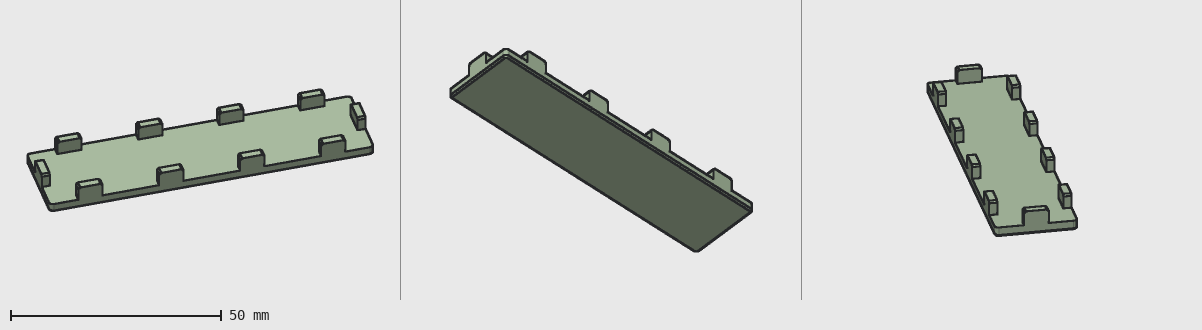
import cadquery as cq

length = 80.0
width = 20.0
height = 6.1
plate_thickness = 2.5
corner_radius = 1.0
bottom_chamfer = 0.5

tab_width = 6.0
tab_thickness = 2.0
tab_chamfer = 0.5
tabs_per_side = 4
tab_pitch = length / tabs_per_side
tab_height = height - plate_thickness


def make_plate():
    """Flat plate with rounded corners and a chamfered bottom rim."""
    plate = cq.Workplane("XY").box(width, length, plate_thickness, centered=(True, True, False))
    return plate.edges("|Z").fillet(corner_radius).faces("<Z").chamfer(bottom_chamfer)


def make_tab():
    """Tab standing on the plate, wide along X, with its two top corners cut."""
    tab = cq.Workplane("XY").box(tab_width, tab_thickness, tab_height, centered=(True, True, False))
    tab = tab.edges(">Z and |Y").chamfer(tab_chamfer)
    return tab.translate((0, 0, plate_thickness))


end_tab = make_tab()
side_tab = end_tab.rotate((0, 0, 0), (0, 0, 1), 90)

result = make_plate()
for side in (-1, 1):
    result = result.union(end_tab.translate((0, side * (length - tab_thickness) / 2, 0)))
    for index in range(tabs_per_side):
        tab_x = side * (width - tab_thickness) / 2
        tab_y = (index - (tabs_per_side - 1) / 2) * tab_pitch
        result = result.union(side_tab.translate((tab_x, tab_y, 0)))